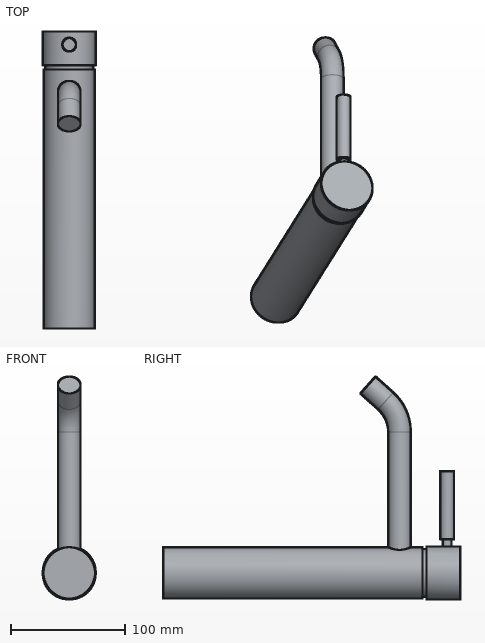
import cadquery as cq
import math

TUBE_RADIUS = 45.0 / 2
TUBE_LENGTH = 227.0

TOTAL_LENGTH = 260.2
CAP_RADIUS = 46.5 / 2
CAP_LENGTH = 30.0
CAP_CHAMFER = 0.4
NECK_RADIUS = 21.0
CAP_FRONT = TOTAL_LENGTH - CAP_LENGTH
NECK_LENGTH = CAP_FRONT - TUBE_LENGTH

SPOUT_RADIUS = 20.0 / 2
SPOUT_Y = 207.0
SPOUT_STRAIGHT_TOP = 123.4
SPOUT_BEND_RADIUS = 36.5
SPOUT_BEND_ANGLE = math.radians(48)
OVERALL_HEIGHT = 195.2
SPOUT_TOP = OVERALL_HEIGHT - CAP_RADIUS

LEVER_RADIUS = 12.2 / 2
LEVER_Y = 248.5
LEVER_BOTTOM = 29.1
LEVER_TOP = 89.0
LEVER_CHAMFER = 0.5
STEM_RADIUS = 4.0


def cylinder_along_y(radius, start, length):
    """Cylinder on the Y axis from Y = start to Y = start + length."""
    return cq.Workplane("XZ", origin=(0, start, 0)).circle(radius).extrude(-length)


def upright_cylinder(radius, y, bottom, top):
    """Vertical cylinder centred on X = 0."""
    return cq.Workplane("XY", origin=(0, y, bottom)).circle(radius).extrude(top - bottom)


def make_tube():
    return cylinder_along_y(TUBE_RADIUS, 0, TUBE_LENGTH)


def make_neck():
    return cylinder_along_y(NECK_RADIUS, TUBE_LENGTH, NECK_LENGTH)


def make_cap():
    cap = cylinder_along_y(CAP_RADIUS, CAP_FRONT, CAP_LENGTH)
    return cap.faces("<Y or >Y").chamfer(CAP_CHAMFER)


def make_spout(tube):
    """Bent round bar whose foot is saddle-cut to the tube."""
    sine = math.sin(SPOUT_BEND_ANGLE)
    cosine = math.cos(SPOUT_BEND_ANGLE)
    half_angle = SPOUT_BEND_ANGLE / 2

    def bend_point(angle):
        forward = SPOUT_BEND_RADIUS * (1 - math.cos(angle))
        return SPOUT_Y - forward, SPOUT_STRAIGHT_TOP + SPOUT_BEND_RADIUS * math.sin(angle)

    bend_end = bend_point(SPOUT_BEND_ANGLE)
    tip_z = SPOUT_TOP - SPOUT_RADIUS * sine
    tip_length = (tip_z - bend_end[1]) / cosine
    tip = (bend_end[0] - tip_length * sine, tip_z)

    path = (
        cq.Workplane("YZ")
        .moveTo(SPOUT_Y, 0)
        .lineTo(SPOUT_Y, SPOUT_STRAIGHT_TOP)
        .threePointArc(bend_point(half_angle), bend_end)
        .lineTo(*tip)
    )
    bar = cq.Workplane("XY", origin=(0, SPOUT_Y, 0)).circle(SPOUT_RADIUS).sweep(path)
    return bar.cut(tube)


def make_stem(cap):
    """Thin pin between cap and lever, saddle-cut to the cap."""
    return upright_cylinder(STEM_RADIUS, LEVER_Y, 0, LEVER_BOTTOM).cut(cap)


def make_lever():
    lever = upright_cylinder(LEVER_RADIUS, LEVER_Y, LEVER_BOTTOM, LEVER_TOP)
    return lever.faces("<Z").chamfer(LEVER_CHAMFER)


tube = make_tube()
neck = make_neck()
cap = make_cap()
spout = make_spout(tube)
stem = make_stem(cap)
lever = make_lever()

result = cq.Compound.makeCompound(
    [tube.val(), neck.val(), cap.val(), spout.val(), stem.val(), lever.val()]
)